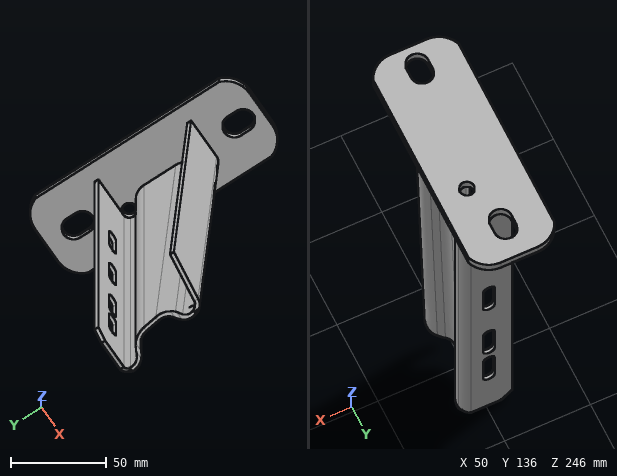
import cadquery as cq
import math

TOTAL_HEIGHT = 246.0
PLATE_WIDTH = 50.0
PLATE_LENGTH = 136.0
PLATE_THICKNESS = 6.0
PLATE_BOTTOM = TOTAL_HEIGHT - PLATE_THICKNESS

CORNER_RUN = 14.3
CORNER_DROP = 9.8

MOUNT_SLOT_LENGTH = 18.2
MOUNT_SLOT_WIDTH = 12.5
MOUNT_SLOT_SPACING = 101.8
MOUNT_SLOT_CENTER_Y = -3.0
ROUND_HOLE_DIAMETER = 8.0
ROUND_HOLE_X = 8.0
ROUND_HOLE_Y = 21.0

SHEET = 2.5
FLANGE_LEFT = -15.3
FLANGE_LENGTH = 24.0
BACK_FACE_Y = 27.3
TOP_DEPTH = 61.3
BOTTOM_DEPTH = 47.5
FLANGE_BEND = (4.5, 70)
LIP_BEND = (5.7, 83)
WALL_LENGTH = 4.2
BULGE_RADIUS = 8.4
BULGE_TURN = FLANGE_BEND[1] + LIP_BEND[1] - 90

FRONT_EDGE_HEIGHT = 49.7
FRONT_BEND_HEIGHT = 34.0
BACK_CHAMFER = 6.5

FLANGE_SLOT_LENGTH = 24.8
FLANGE_SLOT_WIDTH = 6.6
FLANGE_SLOT_X = -1.7
LOWEST_SLOT_Z = 42.5
LOWEST_SLOT_GAP = 30.0
SLOT_PITCH = 50.0
FLANGE_SLOT_HEIGHTS = [LOWEST_SLOT_Z] + [LOWEST_SLOT_Z + LOWEST_SLOT_GAP + i * SLOT_PITCH for i in range(3)]

CLEARANCE = 12.3


def half_section_steps():
    """Steps (length, turn in degrees) along the sheet from the back flange to the bulge face."""
    bends = [(*FLANGE_BEND, -1), (*LIP_BEND, -1), (BULGE_RADIUS, BULGE_TURN, 1)]
    flange_bend, lip_bend, bulge_bend = [
        (radius * math.radians(turn), side * turn) for radius, turn, side in bends
    ]
    return [(FLANGE_LENGTH, 0), flange_bend, lip_bend, (WALL_LENGTH, 0), bulge_bend]


def advance(x, y, heading, length, turn):
    """Follow a straight or circular step and return the new place and heading."""
    half_turn = math.radians(turn) / 2
    chord = length * math.sin(half_turn) / half_turn if turn else length
    x += chord * math.cos(heading + half_turn)
    y += chord * math.sin(heading + half_turn)
    return x, y, heading + 2 * half_turn


def half_section_nodes():
    """Place and heading at the ends of every step, starting on the back flange edge."""
    nodes = [(FLANGE_LEFT, BACK_FACE_Y - SHEET / 2, 0.0)]
    for length, turn in half_section_steps():
        nodes.append(advance(*nodes[-1], length, turn))
    return nodes


def beside(node, offset):
    """Point at a signed distance to the left of the sheet's middle line."""
    x, y, heading = node
    return (x - offset * math.sin(heading), y + offset * math.cos(heading))


def surface_edges(offset, depth, height):
    """Edges of one sheet surface, from the back flange to the mirrored front flange."""
    mirror_y = BACK_FACE_Y - depth / 2
    nodes = half_section_nodes()
    back = []
    front = []

    def vector(point, mirrored):
        x, y = point
        return cq.Vector(x, 2 * mirror_y - y if mirrored else y, height)

    for start, end, (length, turn) in zip(nodes, nodes[1:], half_section_steps()):
        points = [beside(start, offset), beside(end, offset)]
        if turn:
            points.insert(1, beside(advance(*start, length / 2, turn / 2), offset))
        make_edge = cq.Edge.makeThreePointArc if turn else cq.Edge.makeLine
        back.append(make_edge(*[vector(p, False) for p in points]))
        front.insert(0, make_edge(*[vector(p, True) for p in reversed(points)]))
    face_end = beside(nodes[-1], offset)
    bulge_face = cq.Edge.makeLine(vector(face_end, False), vector(face_end, True))
    return back + [bulge_face] + front


def section_wire(depth, height):
    outer = surface_edges(SHEET / 2, depth, height)
    inner = surface_edges(-SHEET / 2, depth, height)
    back_end = cq.Edge.makeLine(inner[0].startPoint(), outer[0].startPoint())
    front_end = cq.Edge.makeLine(outer[-1].endPoint(), inner[-1].endPoint())
    return cq.Wire.assembleEdges([back_end, *outer, front_end, *inner[::-1]])


def front_face_y(height):
    """Y of the leaning front flange's outer face."""
    depth = BOTTOM_DEPTH + (TOP_DEPTH - BOTTOM_DEPTH) * height / PLATE_BOTTOM
    return BACK_FACE_Y - depth


def end_profile():
    """Rise of the sloping end at each back-half node from the flange bend on, and the mirror Y."""
    mirror_y = (BACK_FACE_Y + front_face_y(FRONT_BEND_HEIGHT / 2)) / 2
    nodes = half_section_nodes()[1:]
    distances = [0.0]
    for length, _ in half_section_steps()[1:]:
        distances.append(distances[-1] + length)
    face_length = 2 * (nodes[-1][1] - mirror_y)
    slope = FRONT_BEND_HEIGHT / (2 * distances[-1] + face_length)
    rises = [(x, y, slope * distance) for (x, y, _), distance in zip(nodes, distances)]
    return rises, mirror_y


def web_end_cutter():
    """Region below the sloping end between the two flange bends."""
    rises, mirror_y = end_profile()
    back = [(y, z) for _, y, z in rises[1:]]
    front = [(2 * mirror_y - y, FRONT_BEND_HEIGHT - z) for y, z in reversed(back)]
    below = [(front[-1][0], -CLEARANCE), (back[0][0], -CLEARANCE)]
    outline = back + front + below
    return cq.Workplane("YZ").polyline(outline).close().extrude(PLATE_WIDTH, both=True)


def flange_end_cutters():
    """Regions below the ends of the back and front flanges and their bends."""
    rises, mirror_y = end_profile()
    bend_x = rises[0][0]
    lip_x, lip_y, lip_rise = rises[1]
    right_x = lip_x + CLEARANCE
    back_top = [(bend_x, 0), (lip_x, lip_rise), (right_x, lip_rise)]
    front_lip_height = FRONT_BEND_HEIGHT - lip_rise
    front_top = [
        (FLANGE_LEFT, FRONT_EDGE_HEIGHT),
        (bend_x, FRONT_BEND_HEIGHT),
        (lip_x, front_lip_height),
        (right_x, front_lip_height),
    ]
    cutters = []
    for top, start_y in [(back_top, lip_y + CLEARANCE), (front_top, 2 * mirror_y - lip_y)]:
        outline = top + [(right_x, -CLEARANCE), (top[0][0], -CLEARANCE)]
        face = cq.Workplane("XZ", origin=(0, start_y, 0)).polyline(outline).close()
        cutters.append(face.extrude(CLEARANCE))
    return cutters


def back_corner_cutter():
    """Triangle removed from the free lower corner of the back flange."""
    outline = [(FLANGE_LEFT, 0), (FLANGE_LEFT + BACK_CHAMFER, 0), (FLANGE_LEFT, BACK_CHAMFER)]
    return cq.Workplane("XZ", origin=(0, BACK_FACE_Y, 0)).polyline(outline).close().extrude(SHEET)


def flange_slot_cutter():
    return (
        cq.Workplane("XZ", origin=(0, BACK_FACE_Y, 0))
        .pushPoints([(FLANGE_SLOT_X, z) for z in FLANGE_SLOT_HEIGHTS])
        .slot2D(FLANGE_SLOT_LENGTH, FLANGE_SLOT_WIDTH, 90)
        .extrude(SHEET)
    )


def make_bracket():
    wires = [section_wire(BOTTOM_DEPTH, 0), section_wire(TOP_DEPTH, PLATE_BOTTOM)]
    body = cq.Workplane(cq.Solid.makeLoft(wires, True))
    for cutter in [web_end_cutter(), *flange_end_cutters()]:
        body = body.cut(cutter)
    return body.cut(back_corner_cutter()).cut(flange_slot_cutter())


def make_plate():
    half_width = PLATE_WIDTH / 2
    half_length = PLATE_LENGTH / 2
    end_x = half_width - CORNER_RUN
    side_y = half_length - CORNER_DROP
    radius = (CORNER_RUN**2 + CORNER_DROP**2) / (2 * CORNER_DROP)
    outline = (
        cq.Workplane("XY", origin=(0, 0, PLATE_BOTTOM))
        .moveTo(-end_x, half_length)
        .lineTo(end_x, half_length)
        .radiusArc((half_width, side_y), radius)
        .lineTo(half_width, -side_y)
        .radiusArc((end_x, -half_length), radius)
        .lineTo(-end_x, -half_length)
        .radiusArc((-half_width, -side_y), radius)
        .lineTo(-half_width, side_y)
        .radiusArc((-end_x, half_length), radius)
        .close()
    )
    plate = outline.extrude(PLATE_THICKNESS)
    mount_slots = (
        cq.Workplane("XY", origin=(0, 0, PLATE_BOTTOM))
        .pushPoints([(0, MOUNT_SLOT_CENTER_Y + side * MOUNT_SLOT_SPACING / 2) for side in (-1, 1)])
        .slot2D(MOUNT_SLOT_LENGTH, MOUNT_SLOT_WIDTH, 90)
        .extrude(PLATE_THICKNESS)
    )
    round_hole = (
        cq.Workplane("XY", origin=(ROUND_HOLE_X, ROUND_HOLE_Y, PLATE_BOTTOM))
        .circle(ROUND_HOLE_DIAMETER / 2)
        .extrude(PLATE_THICKNESS)
    )
    return plate.cut(mount_slots).cut(round_hole)


plate = make_plate()
bracket = make_bracket()
result = cq.Compound.makeCompound([plate.solids().val(), bracket.solids().val()])